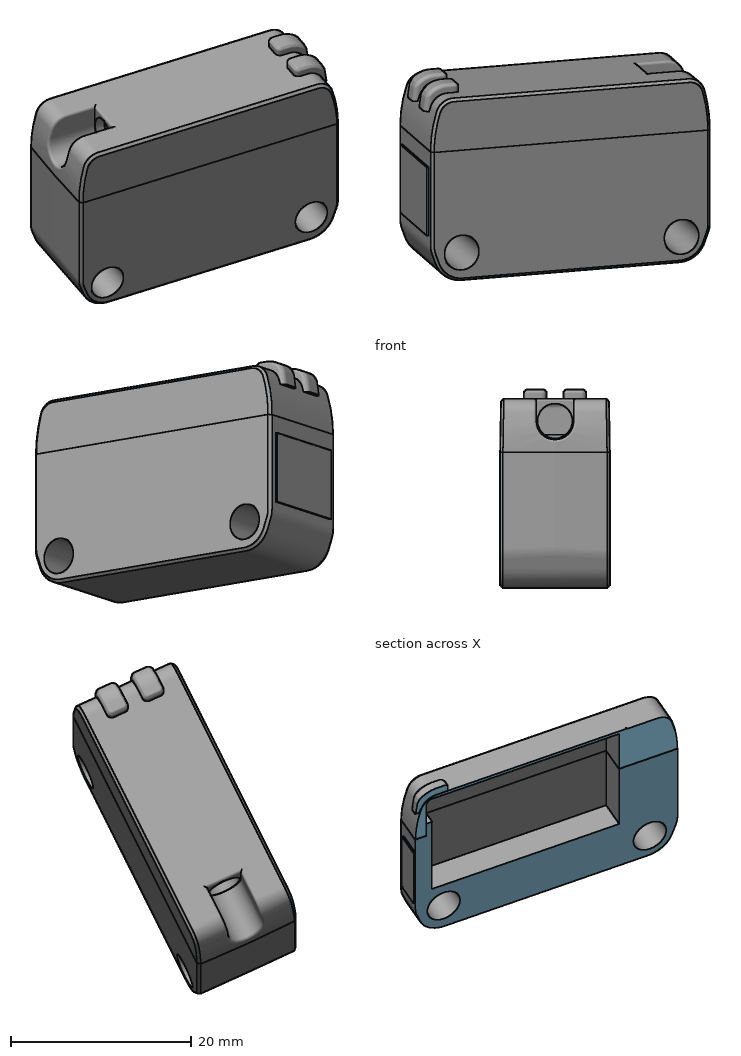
import cadquery as cq
import math

width = 12.2
front_y = -16.35
back_y = 16.137
length = back_y - front_y
top_z = 21.0
split_z = 15.05
ridge_depth = 0.115
side_chamfer = 0.33
margin = 0.03
half_width = width / 2
corner_front_y = front_y + ridge_depth

base_corner_radius = 3.17
base_blend_radius = 2.78
facet_angle = 20.0
facet_top_z = 3.73
mount_radius = 2.0
mount_holes = [(-12.85, 3.0), (12.62, 3.27)]

shoulder_z = 19.6
end_lean = 0.72
wall_draft = 1.0

notch_half_width = 2.05
notch_z = 18.5
notch_end_y = -10.2
notch_rounding = 0.3
cable_hole_radius = 1.93
cable_wall = 1.15
notch_mouth_y = -14.7

chamber_wall = 0.65
chamber_floor_z = 6.55
chamber_top_z = 20.5
chamber_back_y = 14.7
chamber_round_radius = 0.6
lip_top_z = 17.0
lip_thickness = 0.65

lens_width = 2.55
lens_pitch = 4.38
lens_rise = 1.0
lens_front_y = 12.05
lens_bottom_z = 19.03
lens_bottom_y = 16.12
lens_back_lean = 8.0
lens_corner_radius = 0.6
lens_rim_chamfer = 0.3
lens_rim_blend = 0.23

plate_width = 10.17
plate_bottom_z = 5.23
plate_top_z = 13.08
plate_back_y = 16.35


def box(x_size, y_range, z_range):
    """Box centred on x = 0 between the given Y and Z limits."""
    (y0, y1), (z0, z1) = y_range, z_range
    return cq.Workplane("XY").box(x_size, y1 - y0, z1 - z0).translate((0, (y0 + y1) / 2, (z0 + z1) / 2))


class CoverEnd:
    """Tangent chain at one end of the cover: upright foot, wall arc, top round, flat top.

    `inward` is +1 for the front end and -1 for the rear end.
    """

    def __init__(self, foot_y, lean, inward):
        rise = shoulder_z - split_z
        angle = 2 * math.atan2(lean, rise)
        wall_radius = rise / math.sin(angle)
        round_radius = (top_z - shoulder_z) / (1 - math.sin(angle))
        round_y = foot_y + inward * (lean + round_radius * math.cos(angle))
        round_z = top_z - round_radius
        half_wall, half_round = angle / 2, (angle + math.pi / 2) / 2
        self.foot = (foot_y, split_z)
        self.wall_middle = (
            foot_y + inward * wall_radius * (1 - math.cos(half_wall)),
            split_z + wall_radius * math.sin(half_wall),
        )
        self.shoulder = (foot_y + inward * lean, shoulder_z)
        self.round_middle = (
            round_y - inward * round_radius * math.cos(half_round),
            round_z + round_radius * math.sin(half_round),
        )
        self.top = (round_y, top_z)
        self.round_radius = round_radius
        self.round_centre = (round_y, round_z)


rear_end = CoverEnd(back_y, end_lean, -1)


def cover_profile(x, front_end):
    """Closed YZ outline of the cover at x."""
    outline = (
        cq.Workplane("YZ", origin=(x, 0, 0))
        .moveTo(*front_end.foot)
        .threePointArc(front_end.wall_middle, front_end.shoulder)
        .threePointArc(front_end.round_middle, front_end.top)
        .lineTo(*rear_end.top)
        .threePointArc(rear_end.round_middle, rear_end.shoulder)
        .threePointArc(rear_end.wall_middle, rear_end.foot)
        .close()
    )
    return outline.val()


def cover_block():
    """Solid cover: ridged front, drafted and chamfered sides."""
    ridge_section = cover_profile(0, CoverEnd(front_y, end_lean, 1))
    corner_end = CoverEnd(corner_front_y, end_lean - ridge_depth, 1)
    halves = [
        cq.Workplane(cq.Solid.makeLoft([ridge_section, cover_profile(x, corner_end)], True))
        for x in (-half_width, half_width)
    ]
    inset = (top_z - split_z) * math.tan(math.radians(wall_draft))
    drafted_walls = (
        cq.Workplane("XZ")
        .polyline([
            (-half_width, split_z),
            (half_width, split_z),
            (half_width - inset, top_z),
            (inset - half_width, top_z),
        ])
        .close()
        .extrude(length, both=True)
    )
    block = halves[0].union(halves[1]).intersect(drafted_walls)
    upper = cq.selectors.BoxSelector((-width, -length, split_z + margin), (width, length, length))
    for side in ("<X", ">X"):
        block = block.faces(side).edges(upper).chamfer(side_chamfer)
    return block


def notch_tool():
    """U-shaped channel open at the top and the front."""
    return (
        cq.Workplane("XZ", origin=(0, notch_end_y, 0))
        .moveTo(-notch_half_width, top_z + margin)
        .lineTo(-notch_half_width, notch_z)
        .threePointArc((0, notch_z - notch_half_width), (notch_half_width, notch_z))
        .lineTo(notch_half_width, top_z + margin)
        .close()
        .extrude(notch_end_y - front_y + margin)
    )


def rear_lip():
    """Wall of the base that reaches up inside the rear of the cover."""
    return box(
        width - 2 * chamber_wall,
        (chamber_back_y - lip_thickness, chamber_back_y),
        (chamber_floor_z, lip_top_z),
    )


def chamber():
    """Hollow shared by the cover and the base, with a rounded upper rear edge."""
    hollow = box(
        width - 2 * chamber_wall,
        (notch_end_y + cable_wall, chamber_back_y),
        (chamber_floor_z, chamber_top_z),
    )
    return hollow.edges(">Y and >Z").fillet(chamber_round_radius)


def make_cover():
    notched = cover_block().cut(notch_tool())
    reach = notch_half_width + margin
    top_rim = cq.selectors.BoxSelector(
        (-reach, front_y, top_z - margin),
        (reach, notch_end_y + margin, top_z + margin),
    )
    front_rim = cq.selectors.BoxSelector(
        (-reach, front_y - margin, split_z + margin),
        (reach, notch_mouth_y, top_z - margin),
    )
    rounded = notched.edges(top_rim + front_rim).fillet(notch_rounding)
    cable_hole = (
        cq.Workplane("XZ", origin=(0, notch_end_y, notch_z))
        .circle(cable_hole_radius)
        .extrude(-cable_wall)
    )
    return rounded.cut(cable_hole).cut(chamber()).cut(rear_lip())


def make_base():
    ridged_plan = (
        cq.Workplane("XY")
        .polyline([
            (-half_width, back_y),
            (-half_width, corner_front_y),
            (0, front_y),
            (half_width, corner_front_y),
            (half_width, back_y),
        ])
        .close()
        .extrude(split_z)
    )
    facet_run = facet_top_z * math.tan(math.radians(facet_angle))
    faceted_profile = (
        cq.Workplane("YZ")
        .polyline([
            (corner_front_y + facet_run, 0),
            (corner_front_y - facet_run, 2 * facet_top_z),
            (corner_front_y - facet_run, split_z),
            (back_y + facet_run, split_z),
            (back_y + facet_run, 2 * facet_top_z),
            (back_y - facet_run, 0),
        ])
        .close()
        .extrude(width, both=True)
    )
    block = ridged_plan.intersect(faceted_profile)
    block = block.edges("<Z and |X").fillet(base_corner_radius)
    facet_pick = 0.33
    facet_edges = cq.selectors.BoxSelector(
        (-half_width + margin, front_y - margin, facet_top_z - facet_pick),
        (half_width - margin, back_y + margin, facet_top_z + facet_pick),
    )
    block = block.edges(facet_edges).fillet(base_blend_radius)
    below_split = cq.selectors.BoxSelector((-width, -length, -margin), (width, length, split_z - margin))
    for side in ("<X", ">X"):
        block = block.faces(side).edges(below_split).chamfer(side_chamfer)
    for hole_y, hole_z in mount_holes:
        bore = cq.Workplane("YZ").center(hole_y, hole_z).circle(mount_radius).extrude(width, both=True)
        block = block.cut(bore)
    return block.cut(chamber()).union(rear_lip())


def make_lens(x):
    """Raised cap that follows the rear top round of the cover and rests on it."""
    round_y, round_z = rear_end.round_centre
    roof_z = top_z + lens_rise
    roof_radius = rear_end.round_radius + lens_rise
    diagonal = roof_radius * math.sqrt(0.5)
    roof_prism = (
        cq.Workplane("YZ", origin=(x - lens_width / 2, 0, 0))
        .moveTo(lens_front_y, round_z)
        .lineTo(lens_front_y, roof_z)
        .lineTo(round_y, roof_z)
        .threePointArc((round_y + diagonal, round_z + diagonal), (round_y + roof_radius, round_z))
        .close()
        .extrude(lens_width)
    )
    lean_run = (roof_z - lens_bottom_z) * math.tan(math.radians(lens_back_lean))
    leaning_wall = (
        cq.Workplane("YZ")
        .polyline([
            (lens_front_y, lens_bottom_z),
            (lens_front_y, roof_z),
            (lens_bottom_y - lean_run, roof_z),
            (lens_bottom_y, lens_bottom_z),
        ])
        .close()
        .extrude(width, both=True)
    )
    cap = roof_prism.intersect(leaning_wall)

    rear_uprights = cq.selectors.BoxSelector(
        (-width, lens_bottom_y - lean_run, lens_bottom_z + margin),
        (width, back_y, top_z - margin),
    ) - cq.selectors.StringSyntaxSelector("|X")
    cap = cap.edges(cq.selectors.StringSyntaxSelector("|Z") + rear_uprights).fillet(lens_corner_radius)

    cap = cap.edges(">Z and <Y").chamfer(lens_rim_chamfer)
    front_borders = cq.selectors.BoxSelector(
        (-width, lens_front_y - margin, roof_z - lens_rim_chamfer - margin),
        (width, lens_front_y + lens_rim_chamfer + margin, roof_z + margin),
    ) & cq.selectors.StringSyntaxSelector("|X")
    cap = cap.edges(front_borders).fillet(lens_rim_blend)
    return cap.cut(cover_block())


def make_rear_plate():
    return box(plate_width, (back_y, plate_back_y), (plate_bottom_z, plate_top_z))


cover = make_cover()
base = make_base()
lenses = [make_lens(side * lens_pitch / 2) for side in (-1, 1)]
rear_plate = make_rear_plate()
result = cq.Compound.makeCompound(
    [body.solids().val() for body in (cover, base, *lenses, rear_plate)]
)